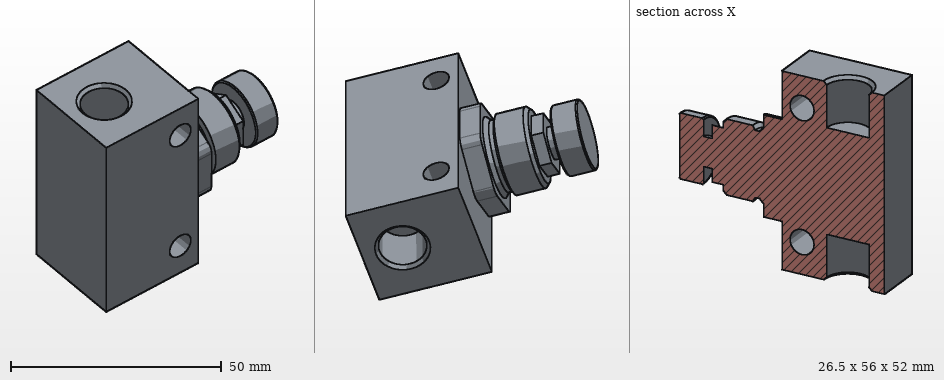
import cadquery as cq
import math

BODY_WIDTH = 26.5
BODY_DEPTH = 28.0
BODY_HEIGHT = 52.0

PORT_DIAMETER = 11.45
PORT_MOUTH_DIAMETER = 13.2
PORT_DEPTH = 12.0
PORT_FROM_FRONT = 10.0

MOUNT_DIAMETER = 6.4
MOUNT_SPACING = 35.0
MOUNT_FROM_REAR = 5.5

BASE_FLATS = 24.0
BASE_CORNER_RADIUS = 3.0
BASE_END = 5.0

COLLAR_DIAMETER = 20.0
COLLAR_END = 16.0
COLLAR_CHAMFER = 0.95
NECK_DIAMETER = 17.7
NECK_LENGTH = 1.1
COLLAR_UNDERSIDE_ANGLE = 30.0

NUT_FLATS = 13.0
NUT_END = 19.0
STEM_DIAMETER = 8.0
KNOB_DIAMETER = 17.4
KNOB_START = 21.3
KNOB_END = 28.0
KNOB_CHAMFER = 0.35


def rear_plane(y):
    """Work plane across the bonnet axis at the given Y, facing +Y with its first axis along Z."""
    return cq.Workplane("ZX", origin=(0, y, 0))


def hexagon(flats, start, end):
    """Hexagonal prism along Y with two flats facing +X and -X."""
    corner_diameter = flats / math.cos(math.pi / 6)
    return rear_plane(start).polygon(6, corner_diameter).extrude(end - start)


def cylinder(diameter, start, end):
    """Round bar along Y."""
    return rear_plane(start).circle(diameter / 2).extrude(end - start)


def make_body():
    return cq.Workplane("XY").box(BODY_WIDTH, BODY_DEPTH, BODY_HEIGHT).translate((0, -BODY_DEPTH / 2, 0))


def make_port():
    """Blind bore with a 45 degree mouth, open at the top of the body."""
    bore_radius = PORT_DIAMETER / 2
    mouth_radius = PORT_MOUTH_DIAMETER / 2
    top = BODY_HEIGHT / 2
    floor = top - PORT_DEPTH
    mouth_bottom = top - (mouth_radius - bore_radius)
    profile = [
        (0, floor),
        (bore_radius, floor),
        (bore_radius, mouth_bottom),
        (mouth_radius, top),
        (0, top),
    ]
    port = cq.Workplane("XZ").polyline(profile).close().revolve(360, (0, 0, 0), (0, 1, 0))
    return port.translate((0, PORT_FROM_FRONT - BODY_DEPTH, 0))


def make_mounting_holes():
    return (
        cq.Workplane("YZ", origin=(-BODY_WIDTH / 2, 0, 0))
        .pushPoints([(-MOUNT_FROM_REAR, side * MOUNT_SPACING / 2) for side in (-1, 1)])
        .circle(MOUNT_DIAMETER / 2)
        .extrude(BODY_WIDTH)
    )


def make_collar():
    """Turned collar with a V-sided groove separating it from the hexagonal base."""
    collar_radius = COLLAR_DIAMETER / 2
    neck_radius = NECK_DIAMETER / 2
    groove_depth = collar_radius - neck_radius
    neck_start = BASE_END + groove_depth
    neck_end = neck_start + NECK_LENGTH
    collar_start = neck_end + groove_depth * math.tan(math.radians(COLLAR_UNDERSIDE_ANGLE))
    profile = [
        (0, BASE_END),
        (collar_radius, BASE_END),
        (neck_radius, neck_start),
        (neck_radius, neck_end),
        (collar_radius, collar_start),
        (collar_radius, COLLAR_END - COLLAR_CHAMFER),
        (collar_radius - COLLAR_CHAMFER, COLLAR_END),
        (0, COLLAR_END),
    ]
    return cq.Workplane("XY").polyline(profile).close().revolve(360, (0, 0, 0), (0, 1, 0))


def make_bonnet():
    base = hexagon(BASE_FLATS, 0, BASE_END).edges("|Y").fillet(BASE_CORNER_RADIUS)
    nut = hexagon(NUT_FLATS, COLLAR_END, NUT_END)
    stem = cylinder(STEM_DIAMETER, NUT_END, KNOB_START)
    knob = cylinder(KNOB_DIAMETER, KNOB_START, KNOB_END).edges("%CIRCLE").chamfer(KNOB_CHAMFER)
    return base.union(make_collar()).union(nut).union(stem).union(knob)


upper_port = make_port()
lower_port = upper_port.mirror("XY")
body = make_body().cut(upper_port).cut(lower_port).cut(make_mounting_holes())
result = body.union(make_bonnet())